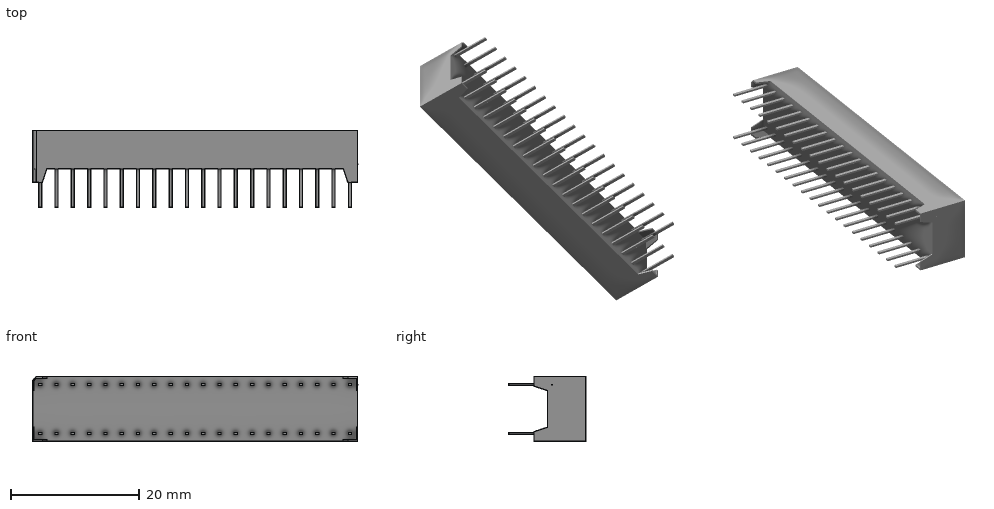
import cadquery as cq

total_length = 50.7
height = 10.15
total_depth = 12.0

nub_length = 0.05
nub_diameter = 0.1
nub_above_centre = 3.75
nub_from_back = 5.25
length = total_length - nub_length
block_depth = 6.0
corner_chamfer = 0.6

foot_length = 2.15
foot_root_width = 2.25
foot_tip_width = 1.5
end_wall = 0.2
long_wall = 0.3
bevel_gusset = 0.35

pins_per_row = 20
pin_row_span = 48.25
pin_pitch = pin_row_span / (pins_per_row - 1)
row_spacing = 7.6
pin_width = 0.5
pin_thickness = 0.3

back_y = total_depth / 2
block_y = back_y - block_depth
foot_y = block_y - foot_length
pin_tip_y = -total_depth / 2


def make_block():
    """Solid block behind the feet."""
    block_centre_y = block_y + block_depth / 2
    return cq.Workplane("XY").box(length, block_depth, height).translate((0, block_centre_y, 0))


def foot_wall(plane, half_span, thickness):
    """Tapered foot wall at the negative end of a span, with its root on the block face."""
    outline = cq.Workplane(plane).polyline([
        (-half_span, block_y),
        (-half_span + foot_root_width, block_y),
        (-half_span + foot_tip_width, foot_y),
        (-half_span, foot_y),
    ])
    return outline.close().extrude(thickness)


def make_foot():
    """L-shaped foot at the -X, -Z corner: one wall along X and one along Z."""
    long_plane = cq.Plane(origin=(0, 0, -height / 2), xDir=(1, 0, 0), normal=(0, 0, 1))
    end_plane = cq.Plane(origin=(-length / 2, 0, 0), xDir=(0, 0, 1), normal=(-1, 0, 0))
    return foot_wall(long_plane, length / 2, long_wall).union(foot_wall(end_plane, height / 2, -end_wall))


def corner_prism(corner_x, corner_z, leg, start_y, depth):
    """Triangular prism in a -X, +Z corner, running from start_y toward -Y."""
    return (
        cq.Workplane("XZ", origin=(corner_x, start_y, corner_z))
        .polyline([(0, 0), (leg, 0), (0, -leg)])
        .close()
        .extrude(depth)
    )


def make_housing():
    """Block with four feet, bevelled along its -X, +Z corner."""
    foot = make_foot()
    feet = foot.union(foot.mirror("YZ"))
    feet = feet.union(feet.mirror("XY"))
    gusset = corner_prism(-length / 2 + end_wall, height / 2 - long_wall, bevel_gusset, block_y, foot_length)
    bevel = corner_prism(-length / 2, height / 2, corner_chamfer, back_y, block_depth + foot_length)
    return make_block().union(feet).union(gusset).cut(bevel)


def make_nub():
    """Small round nub on the +X end of the block."""
    return (
        cq.Workplane("YZ", origin=(length / 2, back_y - nub_from_back, nub_above_centre))
        .circle(nub_diameter / 2)
        .extrude(nub_length)
    )


def make_pins():
    """Pins standing on the block face, reaching the full depth."""
    return (
        cq.Workplane("XZ", origin=(0, block_y, 0))
        .rarray(pin_pitch, row_spacing, pins_per_row, 2)
        .rect(pin_width, pin_thickness)
        .extrude(block_y - pin_tip_y)
    )


result = make_housing().union(make_nub()).union(make_pins())